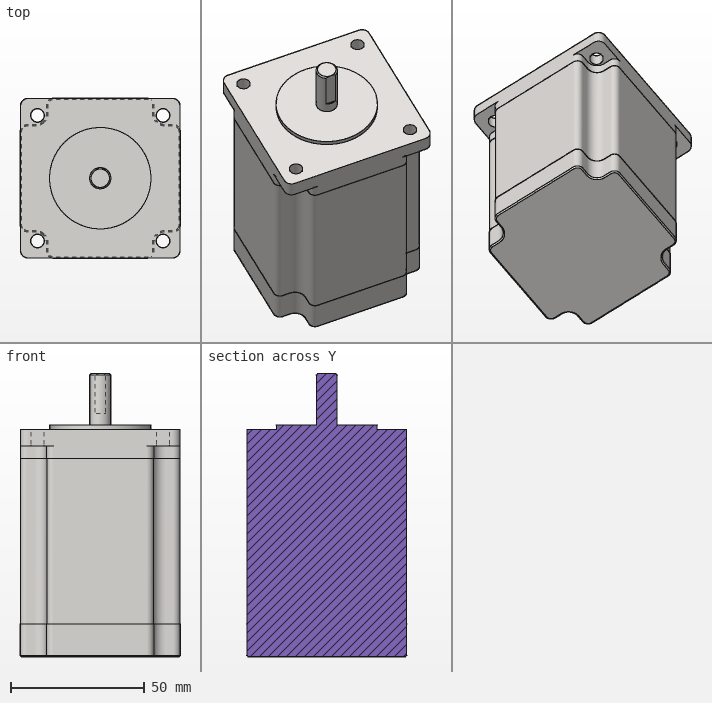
import cadquery as cq
import math


total_height = 106.5
rear_cover_top = 12.4
front_cover_bottom = 74.5
flange_bottom = 79.3
flange_top = 85.5
pilot_height = 1.7
pilot_top = flange_top + pilot_height

cover_width = 60.2
flange_width = 60.1
flange_corner_radius = 3.0
stator_inset = 0.1
rear_edge_chamfer = 0.5

groove_wall = 20.1
valley_radius = 4.4
groove_edge_radius = 2.6
edge_centre = groove_wall - groove_edge_radius
valley_centre = groove_wall + valley_radius

hole_spacing = 47.2
hole_diameter = 5.0

pilot_diameter = 38.1
shaft_diameter = 8.0
shaft_chamfer = 0.5
flat_length = 15.0
flat_depth = 0.5


def grooved_block(width, bottom, top, inset=0):
    """Square block with a rounded groove along each upright edge, its whole outline set in by inset."""
    half = width / 2 - inset
    wall = groove_wall - inset
    edge_radius = groove_edge_radius - inset
    wall_start = half - edge_radius
    edge_bulge = edge_radius * math.sqrt(0.5)
    valley_mid = valley_centre - (valley_radius + inset) * math.sqrt(0.5)

    corner = [
        ("line", (half, edge_centre)),
        ("arc", (wall_start + edge_bulge, edge_centre + edge_bulge), (wall_start, wall)),
        ("line", (valley_centre, wall)),
        ("arc", (valley_mid, valley_mid), (wall, valley_centre)),
        ("line", (wall, wall_start)),
        ("arc", (edge_centre + edge_bulge, wall_start + edge_bulge), (edge_centre, half)),
    ]

    outline = cq.Workplane("XY").workplane(offset=bottom).moveTo(half, -edge_centre)
    for quarter_turns in range(4):
        for kind, *points in corner:
            for _ in range(quarter_turns):
                points = [(-y, x) for x, y in points]
            if kind == "line":
                outline = outline.lineTo(*points[0])
            else:
                outline = outline.threePointArc(*points)
    return outline.close().extrude(top - bottom)


def cylinder(diameter, bottom, top):
    return cq.Workplane("XY").workplane(offset=bottom).circle(diameter / 2).extrude(top - bottom)


def make_housing():
    rear_cover = grooved_block(cover_width, 0, rear_cover_top)
    rear_cover = rear_cover.faces("<Z").chamfer(rear_edge_chamfer)
    stator = grooved_block(cover_width, rear_cover_top, front_cover_bottom, stator_inset)
    front_cover = grooved_block(flange_width, front_cover_bottom, flange_bottom)
    return rear_cover.union(stator).union(front_cover)


def make_flange():
    return (
        cq.Workplane("XY")
        .workplane(offset=flange_bottom)
        .rect(flange_width, flange_width)
        .extrude(flange_top - flange_bottom)
        .edges("|Z")
        .fillet(flange_corner_radius)
        .faces(">Z")
        .workplane()
        .rect(hole_spacing, hole_spacing, forConstruction=True)
        .vertices()
        .hole(hole_diameter)
    )


def make_shaft():
    """Round shaft with a chamfered tip and a flat facing +Y on its upper part."""
    shaft = cylinder(shaft_diameter, pilot_top, total_height)
    shaft = shaft.faces(">Z").chamfer(shaft_chamfer)
    flat_cut = (
        cq.Workplane("XY")
        .workplane(offset=total_height - flat_length)
        .center(0, shaft_diameter - flat_depth)
        .rect(shaft_diameter, shaft_diameter)
        .extrude(flat_length)
    )
    return shaft.cut(flat_cut)


pilot = cylinder(pilot_diameter, flange_top, pilot_top)

result = make_housing().union(make_flange()).union(pilot).union(make_shaft())